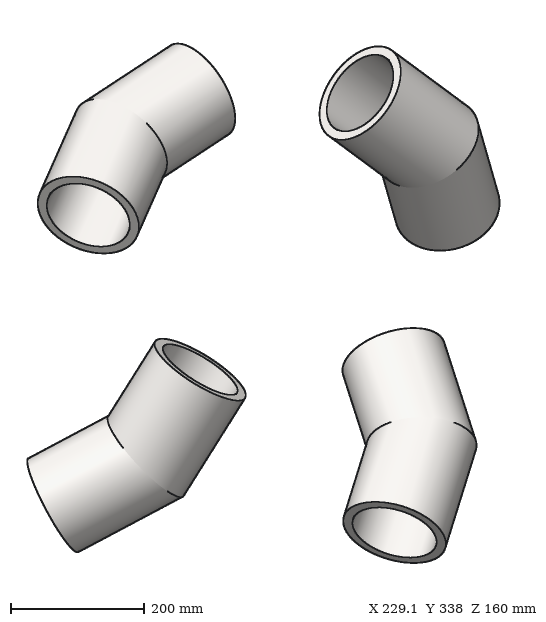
import cadquery as cq
import math

overall_length = 338.0
outer_diameter = 160.0
wall = 14.5
bend_angle = math.radians(30.0)

outer_radius = outer_diameter / 2
inner_radius = outer_radius - wall

rim_rise = outer_radius * math.sin(bend_angle)
leg_length = (overall_length - rim_rise) / (1 + math.cos(bend_angle))

miter_point = (0, leg_length, 0)
far_end = (
    leg_length * math.sin(bend_angle),
    leg_length * (1 + math.cos(bend_angle)),
    0,
)


def mitered_rod(radius):
    """Solid round rod following the two legs, with a sharp miter joint."""
    centreline = cq.Workplane("XY").polyline([(0, 0, 0), miter_point, far_end])
    return cq.Workplane("XZ").circle(radius).sweep(centreline, transition="right")


result = mitered_rod(outer_radius).cut(mitered_rod(inner_radius))